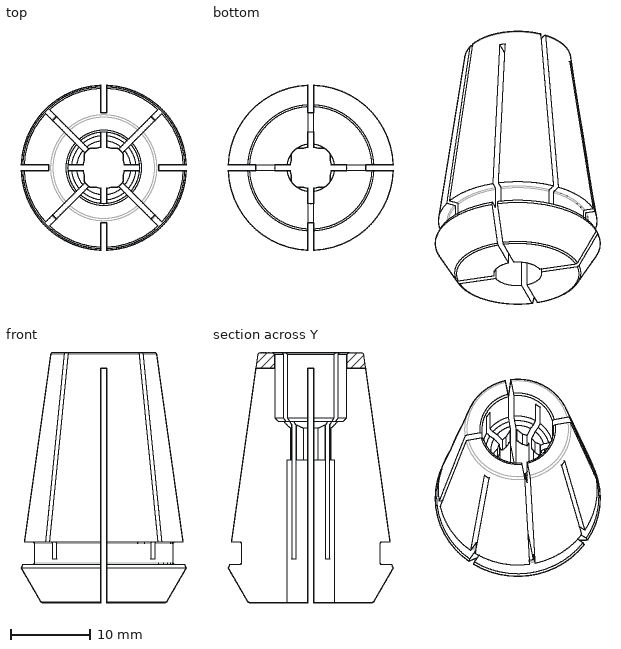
import cadquery as cq
import math

total_height = 31.5
nose_height = 4.4
flange_top = 4.85
groove_top = 7.65
cross_slot_top = 29.5
diagonal_slot_floor = 5.5

nose_radius = 10.4
nose_half_angle = 30.0
groove_radius = 8.75
body_radius = 10.0
body_half_angle = 8.0
flange_edge_bevel = 0.2
bottom_chamfer = 0.15
groove_fillet = 0.15
rim_fillet = 0.3

shank_radius = 3.0
shank_depth = 18.0
square_width = 4.85
square_relief_radius = 2.6
square_length = 4.0
countersink_radius = 3.4
step_radius = 4.05
relief_radius = 4.5
relief_chamfer = 0.25

slot_width = 0.7
slots_per_set = 4


def taper_radius(z):
    """Outside radius of the tapered body at height z."""
    return body_radius - (z - groove_top) * math.tan(math.radians(body_half_angle))


def make_body():
    """Solid of revolution: nose cone, groove and tapered body."""
    nose_slope = math.tan(math.radians(nose_half_angle))
    bottom_radius = nose_radius - nose_height * nose_slope
    chamfer_bottom_radius = bottom_radius - bottom_chamfer
    chamfer_top_radius = bottom_radius + bottom_chamfer * nose_slope
    fillet_reach = groove_fillet * (1 - math.sqrt(0.5))
    return (
        cq.Workplane("XZ")
        .moveTo(0, 0)
        .lineTo(chamfer_bottom_radius, 0)
        .lineTo(chamfer_top_radius, bottom_chamfer)
        .lineTo(nose_radius, nose_height)
        .lineTo(nose_radius - flange_edge_bevel, flange_top)
        .lineTo(groove_radius + groove_fillet, flange_top)
        .threePointArc(
            (groove_radius + fillet_reach, flange_top + fillet_reach),
            (groove_radius, flange_top + groove_fillet),
        )
        .lineTo(groove_radius, groove_top - groove_fillet)
        .threePointArc(
            (groove_radius + fillet_reach, groove_top - fillet_reach),
            (groove_radius + groove_fillet, groove_top),
        )
        .lineTo(body_radius, groove_top)
        .lineTo(taper_radius(total_height), total_height)
        .lineTo(0, total_height)
        .close()
        .revolve(360, (0, 0), (0, 1))
        .faces(">Z")
        .edges()
        .fillet(rim_fillet)
    )


def make_square_drive(base, top):
    """Square hole with its corners rounded to the shank and a round relief across the flats."""
    length = top - base
    plane = cq.Workplane("XY").workplane(offset=base)
    square = plane.rect(square_width, square_width).extrude(length)
    corner_round = plane.circle(shank_radius).extrude(length)
    relief = plane.circle(square_relief_radius).extrude(length)
    return square.intersect(corner_round).union(relief)


def make_bore():
    """Shank hole from below, square drive, then countersink and relief bore to the top."""
    square_top = shank_depth + square_length
    countersink_top = square_top + countersink_radius - square_relief_radius
    step_top = countersink_top + relief_radius - step_radius
    shank_hole = cq.Workplane("XY").circle(shank_radius).extrude(shank_depth)
    relief = (
        cq.Workplane("XZ")
        .moveTo(0, square_top)
        .lineTo(square_relief_radius, square_top)
        .lineTo(countersink_radius, countersink_top)
        .lineTo(step_radius, countersink_top)
        .lineTo(relief_radius, step_top)
        .lineTo(relief_radius, total_height - relief_chamfer)
        .lineTo(relief_radius + relief_chamfer, total_height)
        .lineTo(0, total_height)
        .close()
        .revolve(360, (0, 0), (0, 1))
    )
    square_drive = make_square_drive(shank_depth, countersink_top)
    return shank_hole.union(square_drive).union(relief)


def make_slots(base, top, start_angle):
    """Radial slots, evenly spaced around the axis, between two heights."""
    slots = cq.Workplane("XY")
    for index in range(slots_per_set):
        slot = (
            cq.Workplane("XY")
            .box(2 * nose_radius, slot_width, top - base, centered=(False, True, False))
            .translate((0, 0, base))
            .rotate((0, 0, 0), (0, 0, 1), start_angle + index * 360 / slots_per_set)
        )
        slots = slots.add(slot)
    return slots.combine()


cross_slots = make_slots(0, cross_slot_top, 0)
diagonal_slots = make_slots(diagonal_slot_floor, total_height, 180 / slots_per_set)

result = make_body().cut(make_bore()).cut(cross_slots).cut(diagonal_slots)